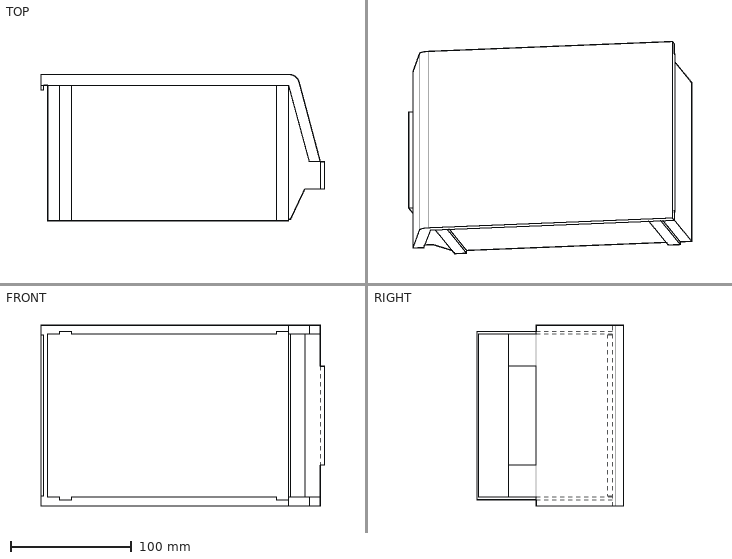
import cadquery as cq
import math

LENGTH = 235.0
DEPTH = 121.5
WIDTH = 150.0

BODY_BACK = 5.6
BODY_FRONT = 205.2
FRONT_WALL_START = 206.8
FRONT_WALL_END = 218.5
LIP_FRONT = 231.5
RIM_TIP = 222.3

RIM_HEIGHT = 9.2
HOOK_DROP = 13.2
LIP_TOP = 72.4
LIP_BOTTOM = 95.2

FLOOR_STEP = 1.5

WALL_INSET = 7.5
RIB_INSET = 5.2
HOOK_INSET = 8.2
TAB_INSET = 34.0

BACK_RIB = (15.3, 25.4)
FRONT_RIB = (195.0, BODY_FRONT)

HOOK_THICKNESS = 2.4


def centered_box(x_range, y_range, inset):
    """Box over the given X and Y ranges, inset equally from both rim sides."""
    x_start, x_end = x_range
    y_start, y_end = y_range
    size = (x_end - x_start, y_end - y_start, WIDTH - 2 * inset)
    return cq.Workplane("XY").box(*size, centered=False).translate((x_start, y_start, inset))


def centered_plate(outline, inset):
    """Extrude a closed XY outline, inset equally from both rim sides."""
    return outline.close().extrude(WIDTH - 2 * inset).translate((0, 0, inset))


rim_bottom = DEPTH - RIM_HEIGHT
lip_top = DEPTH - LIP_TOP
lip_bottom = DEPTH - LIP_BOTTOM

slope_angle = math.atan2(RIM_TIP - BODY_FRONT, rim_bottom - lip_top)


def bend_point(angle):
    """Point on the rim's outer bend, with the angle measured up from +X."""
    return (
        BODY_FRONT + RIM_HEIGHT * math.cos(angle),
        rim_bottom + RIM_HEIGHT * math.sin(angle),
    )


def rim_outer_edge(start):
    """Outline from a start point along the rim's top, bend and slope to the lip."""
    return (
        cq.Workplane("XY")
        .moveTo(*start)
        .lineTo(start[0], DEPTH)
        .lineTo(BODY_FRONT, DEPTH)
        .threePointArc(bend_point((math.pi / 2 + slope_angle) / 2), bend_point(slope_angle))
        .lineTo(LIP_FRONT, lip_top)
    )


body = centered_plate(
    rim_outer_edge((BODY_BACK, 0))
    .lineTo(LIP_FRONT, lip_bottom)
    .lineTo(FRONT_WALL_END, lip_bottom)
    .lineTo(FRONT_WALL_START, FLOOR_STEP)
    .lineTo(BODY_FRONT, FLOOR_STEP)
    .lineTo(BODY_FRONT, 0),
    WALL_INSET,
)

rim = centered_plate(
    rim_outer_edge((0, rim_bottom))
    .lineTo(RIM_TIP, lip_top)
    .lineTo(BODY_FRONT, rim_bottom),
    0,
)

hook = centered_box((0, HOOK_THICKNESS), (DEPTH - HOOK_DROP, DEPTH), HOOK_INSET)

tab = centered_box((FRONT_WALL_END, LENGTH), (lip_bottom, lip_top), TAB_INSET)

result = body.union(rim).union(hook).union(tab)

for rib_range in (BACK_RIB, FRONT_RIB):
    result = result.union(centered_box(rib_range, (0, DEPTH), RIB_INSET))